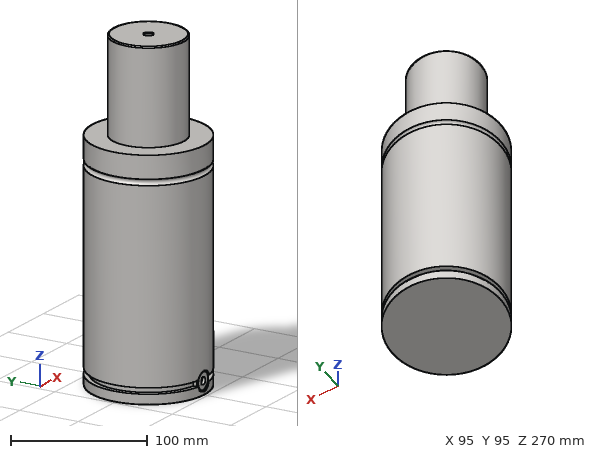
import cadquery as cq
import math

total_height = 270.0
body_diameter = 95.0
body_height = 192.2
rod_diameter = 60.0
rod_chamfer = 1.0

cap_groove_radius = 2.5
cap_groove_height = 171.2

base_groove_bottom = 8.0
base_groove_width = 4.9
base_groove_depth = 4.0

rod_hole_diameter = 6.8
rod_hole_chamfer = 0.5
rod_hole_depth = 13.5
drill_point_angle = 118

valve_height = base_groove_bottom + base_groove_width / 2
valve_diameter = 16.0
valve_face_diameter = 14.0
valve_hole_diameter = 6.0
valve_hole_depth = 2.7
valve_depth = 5.5
valve_face_inset = 0.8

body_radius = body_diameter / 2


def make_cylinder_and_rod():
    """Tube body with the chamfered piston rod standing on it."""
    body = cq.Workplane("XY").circle(body_radius).extrude(body_height)
    rod = (
        cq.Workplane("XY")
        .workplane(offset=body_height)
        .circle(rod_diameter / 2)
        .extrude(total_height - body_height)
        .faces(">Z")
        .chamfer(rod_chamfer)
    )
    return body.union(rod)


def make_cap_groove():
    """Ring of circular section centred on the outside of the body."""
    return cq.Workplane("XY").add(
        cq.Solid.makeTorus(body_radius, cap_groove_radius, cq.Vector(0, 0, cap_groove_height))
    )


def make_base_groove():
    """Rectangular ring removed around the foot of the body."""
    return (
        cq.Workplane("XY")
        .workplane(offset=base_groove_bottom)
        .circle(body_radius)
        .circle(body_radius - base_groove_depth)
        .extrude(base_groove_width)
    )


def make_rod_hole():
    """Blind drilled hole with a chamfered mouth and a conical bottom."""
    radius = rod_hole_diameter / 2
    wall_bottom = total_height - rod_hole_depth
    point_depth = radius / math.tan(math.radians(drill_point_angle / 2))
    return (
        cq.Workplane("XZ")
        .moveTo(0, total_height)
        .lineTo(radius + rod_hole_chamfer, total_height)
        .lineTo(radius, total_height - rod_hole_chamfer)
        .lineTo(radius, wall_bottom)
        .lineTo(0, wall_bottom - point_depth)
        .close()
        .revolve(360, (0, 0, 0), (0, 1, 0))
    )


def valve_cylinder(diameter, inset, depth):
    """Cylinder on the valve axis, starting at an inset from the body side and running inward."""
    return (
        cq.Workplane("XZ", origin=(0, inset - body_radius, valve_height))
        .circle(diameter / 2)
        .extrude(-depth)
    )


valve_recess = valve_cylinder(valve_diameter, 0, valve_depth)
valve_chamfer = (valve_diameter - valve_face_diameter) / 2
valve_plug = (
    valve_cylinder(valve_diameter, valve_face_inset, valve_depth)
    .faces("<Y")
    .chamfer(valve_chamfer)
)
valve_hole = valve_cylinder(valve_hole_diameter, valve_face_inset, valve_hole_depth)

result = (
    make_cylinder_and_rod()
    .cut(make_cap_groove())
    .cut(make_base_groove())
    .cut(make_rod_hole())
    .cut(valve_recess)
    .union(valve_plug)
    .cut(valve_hole)
)